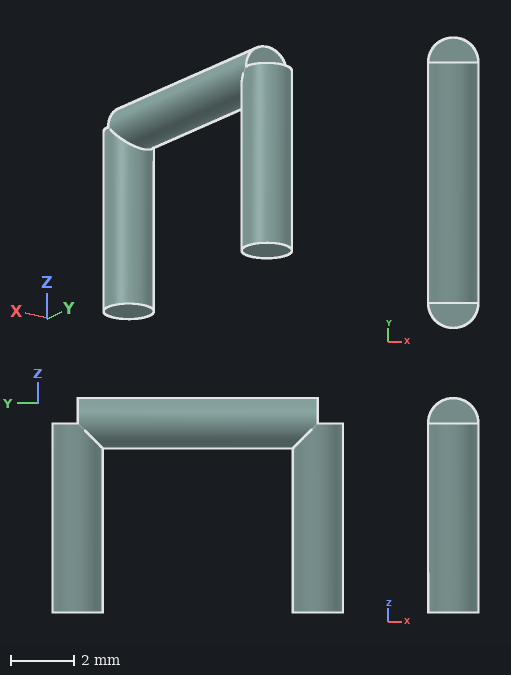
import cadquery as cq

overall_length = 9.22
overall_height = 6.8
rod_diameter = 1.6

rod_radius = rod_diameter / 2
leg_spacing = overall_length - rod_diameter
leg_height = overall_height - rod_radius


def make_leg(y_center):
    """Upright round leg standing on Z = 0."""
    return cq.Workplane("XY").center(0, y_center).circle(rod_radius).extrude(leg_height)


def make_crossbar():
    """Horizontal round bar between the leg axes, centred on the leg tops."""
    return (
        cq.Workplane("XZ", origin=(0, 0, leg_height))
        .circle(rod_radius)
        .extrude(leg_spacing / 2, both=True)
    )


result = make_crossbar()
for side in (-1, 1):
    result = result.union(make_leg(side * leg_spacing / 2))